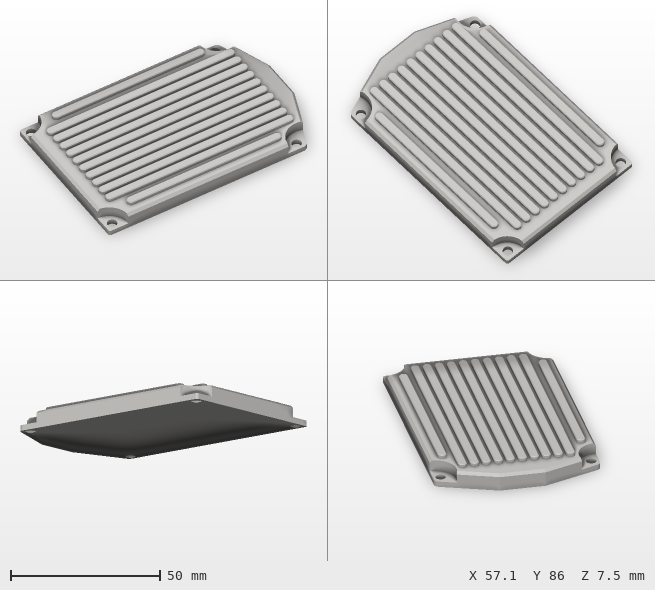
import cadquery as cq

plate_width = 57.1
plate_length = 86.0
plate_height = 6.0
nose_width = 15.65
nose_rise = 7.7
plate_chamfer = 0.95
front_corner_radius = 0.9
shoulder_corner_radius = 2.0

half_width = plate_width / 2
front_y = -plate_length / 2
nose_y = plate_length / 2
shoulder_y = nose_y - nose_rise

ear_thickness = 2.0
ear_radius = 7.5
hole_diameter = 3.5
front_hole_inset = 2.9
shoulder_hole_inset = 2.7

rib_width = 3.0
rib_height = 1.5
rib_chamfer = 0.3
rib_count = 10
rib_pitch = 4.1
rib_group_x = 0.2
rib_front_y = -38.3
rib_back_y = 35.6
side_rib_x = 23.9
left_rib_front_y = -32.8
left_rib_back_y = 27.1
right_rib_front_y = -33.1
right_rib_back_y = 27.6


def make_plate():
    """Solid plate with rounded outline corners and a chamfered top rim."""
    outline = [
        (-half_width, front_y),
        (half_width, front_y),
        (half_width, shoulder_y),
        (nose_width / 2, nose_y),
        (-nose_width / 2, nose_y),
        (-half_width, shoulder_y),
    ]
    plate = cq.Workplane("XY").polyline(outline).close().extrude(plate_height)
    plate = plate.faces(">Z").chamfer(plate_chamfer)
    for side in (-1, 1):
        plate = cut_ear(plate, side * half_width, front_y)
        plate = cut_ear(plate, side * half_width, shoulder_y)
    plate = round_corners(plate, front_y, front_corner_radius)
    return round_corners(plate, shoulder_y, shoulder_corner_radius)


def round_corners(plate, corner_y, radius):
    """Round the two vertical ear edges at the given Y."""
    reach = radius / 2
    around_corners = cq.selectors.BoxSelector(
        (-plate_width, corner_y - reach, 0),
        (plate_width, corner_y + reach, ear_thickness),
    )
    return plate.edges("|Z").edges(around_corners).fillet(radius)


def cut_ear(plate, corner_x, corner_y):
    """Lower the plate to ear thickness around one outline corner."""
    recess = (
        cq.Workplane("XY", origin=(corner_x, corner_y, ear_thickness))
        .circle(ear_radius)
        .extrude(plate_height)
    )
    return plate.cut(recess)


def drill_holes(plate):
    """Drill one through hole in each of the four ears."""
    front_x = half_width - front_hole_inset
    shoulder_x = half_width - shoulder_hole_inset
    centres = []
    for side in (-1, 1):
        centres.append((side * front_x, front_y + front_hole_inset))
        centres.append((side * shoulder_x, shoulder_y - shoulder_hole_inset))
    holes = cq.Workplane("XY").pushPoints(centres).circle(hole_diameter / 2).extrude(plate_height)
    return plate.cut(holes)


def make_rib(x, start_y, end_y):
    """Round-ended rib along Y, standing on the plate, with a chamfered top."""
    return (
        cq.Workplane("XY", origin=(x, (start_y + end_y) / 2, plate_height))
        .slot2D(end_y - start_y, rib_width, 90)
        .extrude(rib_height)
        .faces(">Z")
        .chamfer(rib_chamfer)
    )


result = drill_holes(make_plate())

first_rib_x = rib_group_x - rib_pitch * (rib_count - 1) / 2
for index in range(rib_count):
    result = result.union(make_rib(first_rib_x + index * rib_pitch, rib_front_y, rib_back_y))

result = result.union(make_rib(-side_rib_x, left_rib_front_y, left_rib_back_y))
result = result.union(make_rib(side_rib_x, right_rib_front_y, right_rib_back_y))